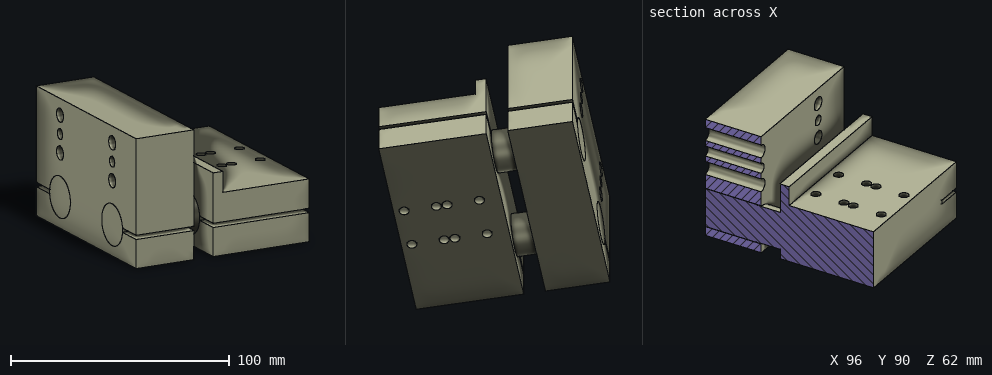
import cadquery as cq

width = 96.0
plate_depth = 30.0
plate_height = 62.0
gap = 10.0
carriage_depth = 50.0
carriage_front = plate_depth + gap
total_depth = carriage_front + carriage_depth

deck_height = 30.0
lip_height = 40.0
lip_depth = 5.0

rod_diameter = 20.0
rod_spacing = 50.0
rod_axis_height = 15.0
rod_positions = [(-rod_spacing / 2, rod_axis_height), (rod_spacing / 2, rod_axis_height)]
rod_outer_x = (rod_spacing + rod_diameter) / 2

slot_height = 2.0

large_hole_diameter = 6.6
small_hole_diameter = 5.0
middle_hole_height = 45.0
plate_hole_pitch = 9.0

deck_hole_diameter = 4.5
deck_pattern_size = 20.0
deck_pattern_shift = 15.0
deck_hole_margin = 5.0


def cylinders_along_y(positions, diameter, depth):
    """Cylinders from Y = 0 to depth at the given (x, z) positions."""
    return cq.Workplane("XZ").pushPoints(positions).circle(diameter / 2).extrude(-depth)


def side_slots(inner_x, start_y, depth):
    """Slots from both sides to a distance inner_x from the centre plane."""
    length = width / 2 - inner_x
    middle_x = (width / 2 + inner_x) / 2
    return (
        cq.Workplane("XZ", origin=(0, start_y, rod_axis_height))
        .pushPoints([(-middle_x, 0), (middle_x, 0)])
        .rect(length, slot_height)
        .extrude(-depth)
    )


def make_plate():
    """Upright plate with bores for the rods and cross holes above them."""
    plate = cq.Workplane("XY").box(width, plate_depth, plate_height, centered=(True, False, False))
    plate = plate.cut(side_slots(rod_spacing / 2, 0, plate_depth))
    plate = plate.cut(cylinders_along_y(rod_positions, rod_diameter, plate_depth))

    for level, diameter in (
        (-1, large_hole_diameter),
        (0, small_hole_diameter),
        (1, large_hole_diameter),
    ):
        height = middle_hole_height + level * plate_hole_pitch
        positions = [(x, height) for x, _ in rod_positions]
        plate = plate.cut(cylinders_along_y(positions, diameter, plate_depth))
    return plate


def make_carriage():
    """Stepped block with side slots, deck holes and two fixed guide rods."""
    lip_back = carriage_front + lip_depth
    carriage = (
        cq.Workplane("YZ", origin=(-width / 2, 0, 0))
        .moveTo(carriage_front, 0)
        .lineTo(total_depth, 0)
        .lineTo(total_depth, deck_height)
        .lineTo(lip_back, deck_height)
        .lineTo(lip_back, lip_height)
        .lineTo(carriage_front, lip_height)
        .close()
        .extrude(width)
    )
    carriage = carriage.cut(side_slots(rod_outer_x, carriage_front, carriage_depth))

    for shift in (0, deck_pattern_shift):
        pattern_center_y = total_depth - deck_hole_margin - shift - deck_pattern_size / 2
        holes = (
            cq.Workplane("XY", origin=(0, pattern_center_y, 0))
            .rect(deck_pattern_size, deck_pattern_size, forConstruction=True)
            .vertices()
            .circle(deck_hole_diameter / 2)
            .extrude(deck_height)
        )
        carriage = carriage.cut(holes)

    return carriage.union(cylinders_along_y(rod_positions, rod_diameter, total_depth))


plate = make_plate()
carriage = make_carriage()

result = cq.Compound.makeCompound([plate.solids().val(), carriage.solids().val()])